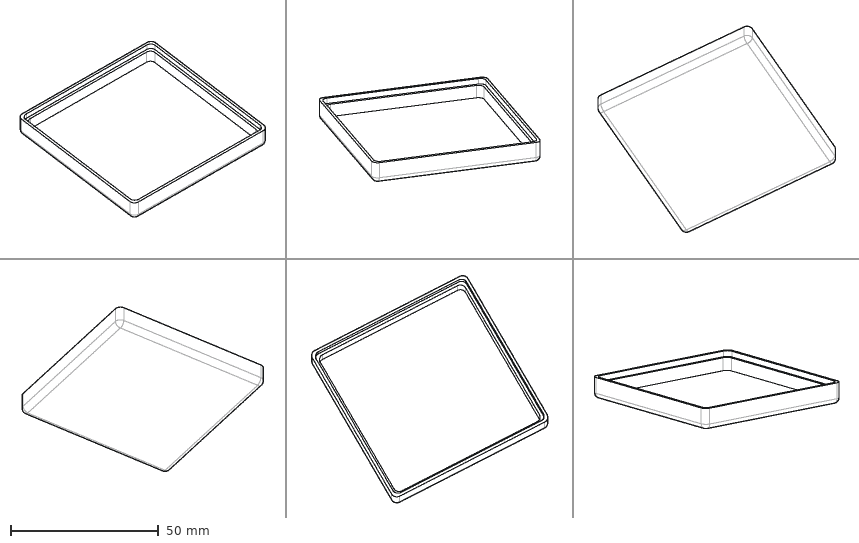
import cadquery as cq

side = 60.0
height = 7.5
corner_radius = 2.05
bottom_fillet = 2.0

wall = 2.0
rim_wall = wall / 2
rim_depth = 2.0
floor = wall / 2
inner_corner_radius = 2.0


def rounded_block(width, base_z, top_z, radius):
    """Square block with rounded vertical edges, centred on the Z axis."""
    return (
        cq.Workplane("XY", origin=(0, 0, base_z))
        .rect(width, width)
        .extrude(top_z - base_z)
        .edges("|Z")
        .fillet(radius)
    )


body = rounded_block(side, 0, height, corner_radius)
body = body.faces("<Z").edges().fillet(bottom_fillet)

cavity = rounded_block(side - 2 * wall, floor, height, inner_corner_radius)
rim_recess = rounded_block(side - 2 * rim_wall, height - rim_depth, height, inner_corner_radius)

result = body.cut(cavity).cut(rim_recess)